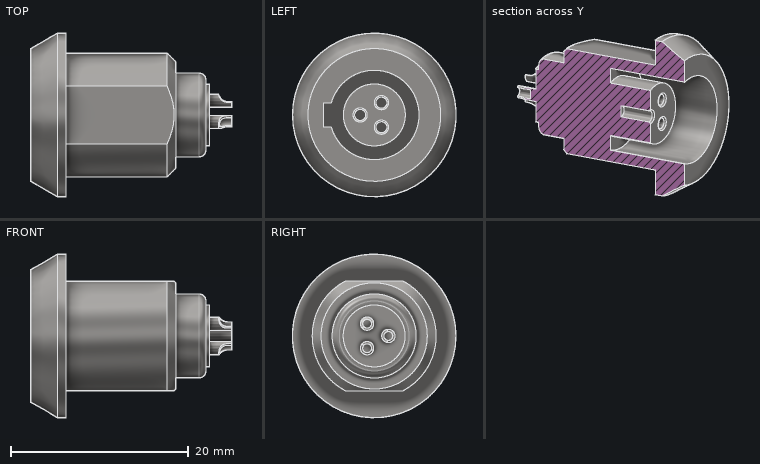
import math

import cadquery as cq


flange_diameter = 18.5
face_diameter = 15.0
flange_thickness = 4.0
rim_width = 1.0
cone_length = flange_thickness - rim_width

body_diameter = 14.0
body_end = 16.4
body_chamfer = 1.0
across_flats = 12.4

sleeve_diameter = 9.5
sleeve_end = 19.8
sleeve_fillet = 0.8
disc_diameter = 7.0
disc_end = 20.2

bore_diameter = 10.1
bore_depth = 10.0
key_width = 2.7
key_reach = 5.75

insert_diameter = disc_diameter
insert_face = 4.6
contact_count = 3
contact_circle_radius = 1.6
socket_diameter = 1.25
socket_mouth_diameter = 1.6
socket_countersink = 0.2
socket_depth = 4.0

pin_diameter = 1.5
pin_end = 22.7
cup_diameter = 1.0
cup_depth = 1.8
relief_radius = 1.6
relief_blend = 1.1
relief_flat = 0.45


def cylinder(start, end, diameter, y=0.0, z=0.0):
    """Cylinder parallel to X between two X positions."""
    plane = cq.Workplane("YZ", origin=(start, y, z))
    return plane.circle(diameter / 2).extrude(end - start)


def make_flange():
    outline = [
        (0, 0),
        (0, face_diameter / 2),
        (cone_length, flange_diameter / 2),
        (flange_thickness, flange_diameter / 2),
        (flange_thickness, 0),
    ]
    return cq.Workplane("XY").polyline(outline).close().revolve(360, (0, 0, 0), (1, 0, 0))


def make_body():
    body = cylinder(flange_thickness, body_end, body_diameter).faces(">X").chamfer(body_chamfer)
    length = body_end - flange_thickness
    flats = cq.Workplane("XY", origin=(flange_thickness, 0, 0)).box(
        length, body_diameter, across_flats, centered=(False, True, True)
    )
    return body.intersect(flats)


def make_rear():
    sleeve = cylinder(body_end, sleeve_end, sleeve_diameter).faces(">X").edges().fillet(sleeve_fillet)
    return sleeve.union(cylinder(sleeve_end, disc_end, disc_diameter))


def make_bore():
    """Round mating bore with a keyway on the +Y side around the insert that stands on its floor."""
    bore = cylinder(0, bore_depth, bore_diameter)
    keyway = cq.Workplane("XY").box(
        bore_depth, key_reach, key_width, centered=(False, False, True)
    )
    insert = cylinder(insert_face, bore_depth, insert_diameter)
    return bore.union(keyway).cut(insert)


def contact_positions():
    step = 2 * math.pi / contact_count
    return [
        (contact_circle_radius * math.cos(i * step), contact_circle_radius * math.sin(i * step))
        for i in range(contact_count)
    ]


def make_socket(y, z):
    """Blind contact hole with a countersunk mouth."""
    hole = cylinder(insert_face, insert_face + socket_depth, socket_diameter, y, z)
    countersink = (
        cq.Workplane("YZ", origin=(insert_face, y, z))
        .circle(socket_mouth_diameter / 2)
        .workplane(offset=socket_countersink)
        .circle(socket_diameter / 2)
        .loft()
    )
    return hole.union(countersink)


def make_cup_relief():
    """Ring, turned about the connector axis, that opens the outer side of every solder cup."""
    blend_end = pin_end - relief_flat
    blend_start = blend_end - relief_blend
    top = relief_radius + relief_blend
    middle = (
        blend_end - relief_blend * math.sqrt(0.5),
        top - relief_blend * math.sqrt(0.5),
    )
    profile = (
        cq.Workplane("XY")
        .moveTo(blend_start, top)
        .threePointArc(middle, (blend_end, relief_radius))
        .lineTo(pin_end, relief_radius)
        .lineTo(pin_end, top)
        .close()
    )
    return profile.revolve(360, (0, 0, 0), (1, 0, 0))


result = make_flange().union(make_body()).union(make_rear()).cut(make_bore())

relief = make_cup_relief()
for contact_y, contact_z in contact_positions():
    pin = cylinder(disc_end, pin_end, pin_diameter, contact_y, contact_z)
    cup = cylinder(pin_end - cup_depth, pin_end, cup_diameter, contact_y, contact_z)
    result = result.union(pin.cut(cup).cut(relief))
    result = result.cut(make_socket(contact_y, contact_z))